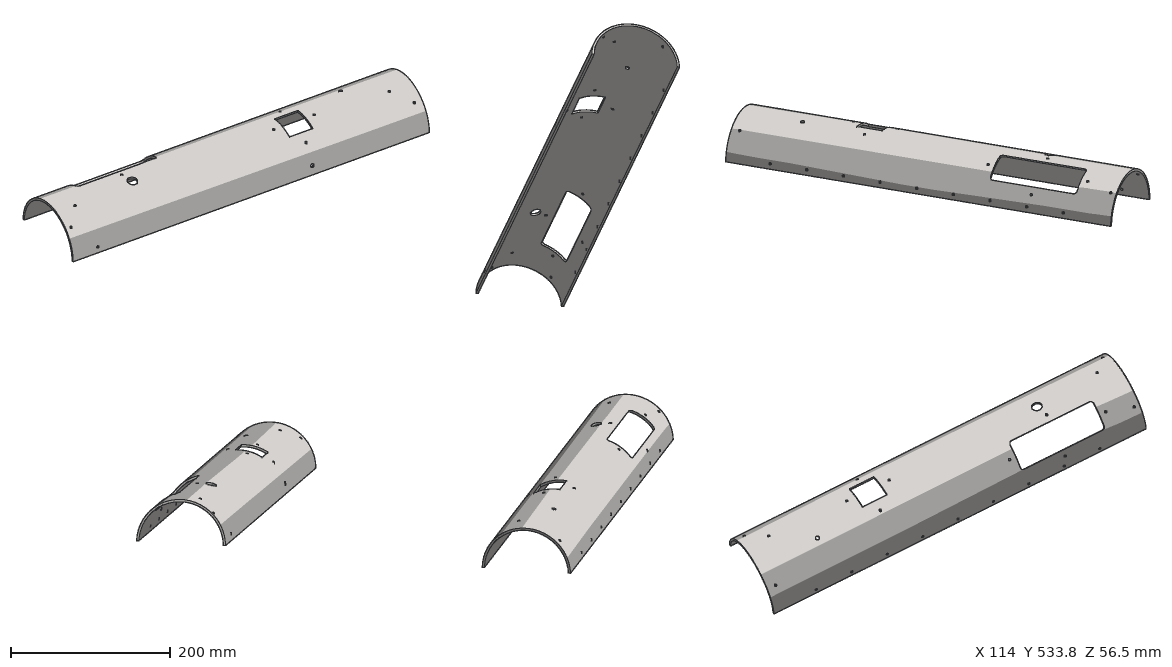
import cadquery as cq
import math

length = 533.8
width = 113.96
height = 56.5
wall = 3.0

outer_radius = 57.0
inner_radius = outer_radius - wall

right_leg_bottom = outer_radius - height
right_reach = math.sqrt(outer_radius**2 - right_leg_bottom**2)
left_leg_bottom = math.sqrt(outer_radius**2 - (width - right_reach) ** 2)

front_end = -length / 2
back_end = length / 2

window_angle = 13.5
slot_angle = -34.2
end_fixing_angle = 45.0
crown_hole_angle = 19.2
vent_angle = -14.4

screw_diameter = 2.8
fixing_diameter = 3.0
vent_diameter = 5.0
button_diameter = 13.3

window_y = 92.7
window_size = 35.0
window_screw_offset = 30.3

slot_y = -154.2
slot_length = 120.0
slot_width = 39.4
slot_corner_radius = 4.0
slot_screw_offset_along = 69.0
slot_screw_offset_across = 28.7

button_y = -149.5
vent_y = 180.5
crown_hole_ys = (-238.9, 231.9)

front_fixing_inset = 7.8
back_fixing_inset = 11.7
end_fixing_ys = (front_end + front_fixing_inset, back_end - back_fixing_inset)

row_count = 9
row_pitch = 50.8
row_centre_y = 2.4
row_height = 9.3

side_hole_angle = 76.5
front_hole_y = -229.5
front_hole_height = 8.8


def half_tube():
    """Half-tube shell whose two legs are cut flat at their own heights just above the axis."""
    tube = cq.Workplane("XZ").circle(outer_radius).circle(inner_radius).extrude(length / 2, both=True)
    for side, leg_bottom in ((-1, left_leg_bottom), (1, right_leg_bottom)):
        waste = cq.Workplane("XY").box(width, 2 * length, width)
        tube = tube.cut(waste.translate((side * width / 2, 0, leg_bottom - width / 2)))
    return tube


def radial_plane(angle, y):
    """Workplane on the axis at y, facing outwards; local x runs around the tube, local y along it."""
    tilt = math.radians(angle)
    return cq.Workplane(
        cq.Plane(
            origin=(0, y, 0),
            xDir=(math.cos(tilt), 0, -math.sin(tilt)),
            normal=(math.sin(tilt), 0, math.cos(tilt)),
        )
    )


def round_cutter(angle, y, diameter, across=0.0):
    """Pin through one side of the wall, offset sideways from the radial direction by across."""
    return radial_plane(angle, y).center(across, 0).circle(diameter / 2).extrude(width)


def window_cutters():
    """Square window and its four screw holes, all cut along the window direction."""
    cutters = [radial_plane(window_angle, window_y).rect(window_size, window_size).extrude(width)]
    for side in (-1, 1):
        offset = side * window_screw_offset
        cutters.append(round_cutter(window_angle, window_y + offset, screw_diameter))
        cutters.append(round_cutter(window_angle, window_y, screw_diameter, across=offset))
    return cutters


def slot_cutters():
    """Rounded slot and its four screw holes, all cut along the slot direction."""
    plane = radial_plane(slot_angle, slot_y)
    opening = plane.rect(slot_width, slot_length).extrude(width)
    corners = opening.edges(cq.selectors.ParallelDirSelector(plane.plane.zDir))
    cutters = [corners.fillet(slot_corner_radius)]
    for side in (-1, 1):
        along = side * slot_screw_offset_along
        across = side * slot_screw_offset_across
        cutters.append(round_cutter(slot_angle, slot_y + along, screw_diameter))
        cutters.append(round_cutter(slot_angle, slot_y, screw_diameter, across=across))
    return cutters


def crown_hole_cutters():
    """Single radial holes on the crown and the fixing pairs at the ends."""
    cutters = [
        round_cutter(window_angle, button_y, button_diameter),
        round_cutter(vent_angle, vent_y, vent_diameter),
    ]
    for y in crown_hole_ys:
        cutters.append(round_cutter(crown_hole_angle, y, fixing_diameter))
    for y in end_fixing_ys:
        for side in (-1, 1):
            cutters.append(round_cutter(side * end_fixing_angle, y, fixing_diameter))
    return cutters


def leg_angle(hole_height):
    """Angle from +Z at which the outer surface of a leg is at this height above the axis."""
    return math.degrees(math.acos(hole_height / outer_radius))


def leg_hole_cutters():
    """Row of holes on the -X leg and the two holes on the +X leg."""
    first_y = row_centre_y - row_pitch * (row_count - 1) / 2
    cutters = []
    for index in range(row_count):
        cutters.append(round_cutter(-leg_angle(row_height), first_y + index * row_pitch, fixing_diameter))
    cutters.append(round_cutter(side_hole_angle, window_y, vent_diameter))
    cutters.append(round_cutter(leg_angle(front_hole_height), front_hole_y, fixing_diameter))
    return cutters


result = half_tube()
for cutter in window_cutters() + slot_cutters() + crown_hole_cutters() + leg_hole_cutters():
    result = result.cut(cutter)